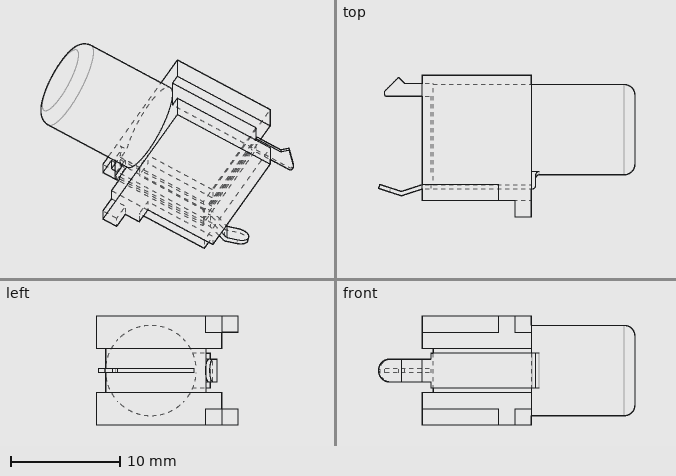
import cadquery as cq
import math


BODY_LENGTH = 10.0
BODY_HEIGHT = 10.0
BODY_TOP_Y = 5.0
BODY_BOTTOM_Y = -6.5

CHANNEL_WIDTH = 4.0
CORE_REAR_X = 1.0
CORE_TOP_Y = 4.15
CORE_BOTTOM_Y = -5.05

CORNER_SIZE = 1.5
STEP_LENGTH = 7.0

BARREL_RADIUS = 4.15
BARREL_END_X = 19.5
BARREL_ROUND = 1.0

SHEET = 0.4

STRIP_REAR_X = 0.8
STRIP_WIDTH = 3.2
STRIP_BEND_RADIUS = 0.35
LEG_END_Y = -3.5
LEG_FILLET = 0.3
TAIL_WIDTH = 2.1
TAIL_TIP_X = -4.0
TAIL_BEND_X = -1.9
TAIL_ANGLE = math.radians(18)

BAR_REAR_X = 0.8
BAR_END_Y = -3.95
PIN_TOP_Y = 4.25
PIN_BOTTOM_Y = 3.05
PIN_TIP_X = -3.45
PIN_TIP_ROUND = 0.2
BARB_PEAK_X = -2.15
BARB_PEAK_Y = 4.8


def box(x0, x1, y0, y1, z0, z1):
    """Axis-aligned box between two opposite corners."""
    return cq.Workplane("XY").box(x1 - x0, y1 - y0, z1 - z0, centered=False).translate((x0, y0, z0))


def sheet_box(x0, x1, y0, y1, width):
    """Box centred on Z = 0."""
    return box(x0, x1, y0, y1, -width / 2, width / 2)


def sheet_profile(points, width):
    """XY outline extruded symmetrically about Z = 0."""
    return cq.Workplane("XY").polyline(points).close().extrude(width / 2, both=True)


def make_housing():
    core_rear = sheet_box(0, CORE_REAR_X, BODY_BOTTOM_Y, BODY_TOP_Y, CHANNEL_WIDTH)
    core_top = sheet_box(0, BODY_LENGTH, CORE_TOP_Y, BODY_TOP_Y, CHANNEL_WIDTH)
    core_bottom = sheet_box(0, BODY_LENGTH, BODY_BOTTOM_Y, CORE_BOTTOM_Y, CHANNEL_WIDTH)
    housing = sheet_box(0, BODY_LENGTH, BODY_BOTTOM_Y, BODY_TOP_Y, BODY_HEIGHT)
    housing = housing.cut(core_rear).cut(core_top).cut(core_bottom)

    half_height = BODY_HEIGHT / 2
    step_top_y = BODY_BOTTOM_Y + CORNER_SIZE
    foot_end_y = BODY_BOTTOM_Y - CORNER_SIZE
    foot_rear_x = BODY_LENGTH - CORNER_SIZE
    for z0 in (-half_height, half_height - CORNER_SIZE):
        z1 = z0 + CORNER_SIZE
        housing = housing.cut(box(0, STEP_LENGTH, BODY_BOTTOM_Y, step_top_y, z0, z1))
        housing = housing.union(box(foot_rear_x, BODY_LENGTH, foot_end_y, BODY_BOTTOM_Y, z0, z1))
    return housing


def make_barrel():
    length = BARREL_END_X - BODY_LENGTH
    barrel = cq.Workplane("YZ", origin=(BODY_LENGTH, 0, 0)).circle(BARREL_RADIUS).extrude(length)
    return barrel.faces(">X").edges().fillet(BARREL_ROUND)


def make_tail():
    """Flat root followed by a shallow V, the free end rounded."""
    outer_y = CORE_BOTTOM_Y - SHEET
    slope = math.tan(TAIL_ANGLE)
    bend_y = outer_y + TAIL_BEND_X * slope
    tip_y = bend_y + (TAIL_BEND_X - TAIL_TIP_X) * slope
    root_miter = SHEET * math.tan(TAIL_ANGLE / 2)
    outer = [
        (STRIP_REAR_X, outer_y),
        (0, outer_y),
        (TAIL_BEND_X, bend_y),
        (TAIL_TIP_X, tip_y),
    ]
    inner = [
        (TAIL_TIP_X + SHEET * math.sin(TAIL_ANGLE), tip_y + SHEET * math.cos(TAIL_ANGLE)),
        (TAIL_BEND_X, bend_y + SHEET / math.cos(TAIL_ANGLE)),
        (-root_miter, CORE_BOTTOM_Y),
        (STRIP_REAR_X, CORE_BOTTOM_Y),
    ]
    tail = sheet_profile(outer + inner, TAIL_WIDTH)

    radius = TAIL_WIDTH / 2
    along_leg = cq.Vector(math.cos(TAIL_ANGLE), -math.sin(TAIL_ANGLE), 0)
    through_sheet = cq.Vector(math.sin(TAIL_ANGLE), math.cos(TAIL_ANGLE), 0)
    tip_plane = cq.Plane(origin=(TAIL_TIP_X, tip_y, 0), xDir=along_leg, normal=through_sheet)
    tip_block = cq.Workplane(tip_plane).rect(2 * radius, TAIL_WIDTH).extrude(SHEET, both=True)
    tip_disc = cq.Workplane(tip_plane).center(radius, 0).circle(radius).extrude(SHEET, both=True)
    return tail.cut(tip_block.cut(tip_disc))


def make_leg_fillet():
    """Concave fillet ring between the front leg and the barrel, trimmed to the leg width."""
    leg_face_x = BODY_LENGTH + SHEET
    end_x = leg_face_x + LEG_FILLET
    outer_radius = BARREL_RADIUS + LEG_FILLET
    sag = LEG_FILLET * (1 - math.sqrt(0.5))
    ring = (
        cq.Workplane("XY")
        .moveTo(BODY_LENGTH, 0)
        .lineTo(BODY_LENGTH, -outer_radius)
        .lineTo(leg_face_x, -outer_radius)
        .threePointArc((leg_face_x + sag, -BARREL_RADIUS - sag), (end_x, -BARREL_RADIUS))
        .lineTo(end_x, 0)
        .close()
        .revolve(360, (0, 0, 0), (1, 0, 0))
    )
    return ring.intersect(sheet_box(BODY_LENGTH, end_x, -outer_radius, LEG_END_Y, STRIP_WIDTH))


def make_ground_contact():
    outer_y = CORE_BOTTOM_Y - SHEET
    leg_face_x = BODY_LENGTH + SHEET
    strip = sheet_profile(
        [
            (STRIP_REAR_X, outer_y),
            (leg_face_x, outer_y),
            (leg_face_x, LEG_END_Y),
            (BODY_LENGTH, LEG_END_Y),
            (BODY_LENGTH, CORE_BOTTOM_Y),
            (STRIP_REAR_X, CORE_BOTTOM_Y),
        ],
        STRIP_WIDTH,
    )
    outer_corner = cq.selectors.NearestToPointSelector((leg_face_x, outer_y, 0))
    strip = strip.edges("|Z").edges(outer_corner).fillet(STRIP_BEND_RADIUS)
    return strip.union(make_tail()).union(make_leg_fillet())


def make_centre_contact():
    bar = sheet_box(BAR_REAR_X, CORE_REAR_X, BAR_END_Y, PIN_TOP_Y, SHEET)
    tip_top_y = BARB_PEAK_Y - (BARB_PEAK_X - PIN_TIP_X)
    barb_base_x = BARB_PEAK_X + (BARB_PEAK_Y - PIN_TOP_Y)
    pin = sheet_profile(
        [
            (CORE_REAR_X, PIN_BOTTOM_Y),
            (PIN_TIP_X, PIN_BOTTOM_Y),
            (PIN_TIP_X, tip_top_y),
            (BARB_PEAK_X, BARB_PEAK_Y),
            (barb_base_x, PIN_TOP_Y),
            (CORE_REAR_X, PIN_TOP_Y),
        ],
        SHEET,
    )
    tip_corner = cq.selectors.NearestToPointSelector((PIN_TIP_X, PIN_BOTTOM_Y, 0))
    pin = pin.edges("|Z").edges(tip_corner).fillet(PIN_TIP_ROUND)
    return bar.union(pin)


result = (
    make_housing()
    .union(make_barrel())
    .union(make_ground_contact())
    .union(make_centre_contact())
)